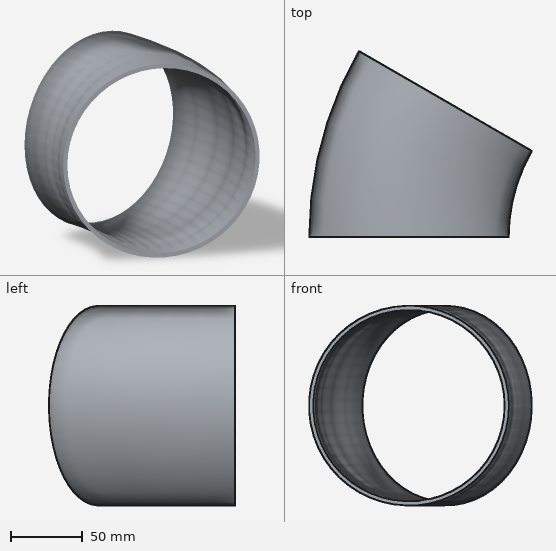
import cadquery as cq

outer_diameter = 139.7
wall_thickness = 3.0
bend_radius = 190.5
bend_angle = 30.0

inner_diameter = outer_diameter - 2 * wall_thickness


def make_elbow():
    """Sweep the pipe's ring section around a bend axis parallel to Z, on the +X side."""
    ring = (
        cq.Workplane("XZ")
        .circle(outer_diameter / 2)
        .circle(inner_diameter / 2)
    )
    axis_start = (bend_radius, 0)
    axis_end = (bend_radius, -1)
    return ring.revolve(bend_angle, axis_start, axis_end)


result = make_elbow()